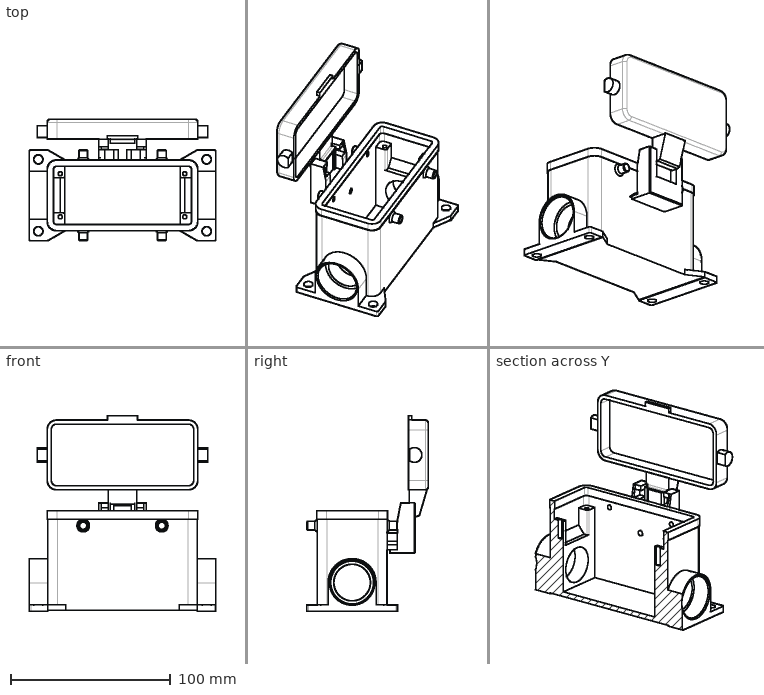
import cadquery as cq
import math


shell_length, shell_width, shell_radius = 93.8, 43.8, 6.0
rim_length, rim_width, rim_radius = 94.5, 44.5, 6.0
housing_height = 63.0
rim_height = 5.4
rim_base_z = housing_height - rim_height
shell_base_z = 0.5
rim_cavity_length, rim_cavity_width, rim_cavity_radius = 86.4, 36.2, 1.5
cavity_undercut = 0.2
cavity_length = rim_cavity_length + 2 * cavity_undercut
cavity_width = rim_cavity_width + 2 * cavity_undercut
cavity_radius = 2.5
floor_top_z = 4.0

end_wall_inner_x = 36.1
end_wall_slope_x = 39.1
end_wall_shelf_z = 34.5
end_wall_top_z = 39.7
insert_boss_top_z = 51.0
insert_boss_inner_y = 11.0
insert_boss_radius = 1.0
insert_hole_x, insert_hole_y = 39.0, 13.5
insert_hole_diameter, insert_hole_depth = 2.6, 12.0

foot_length, foot_width, foot_height = 117.0, 57.0, 4.0
foot_shoulder_x = 46.8
foot_tip_x = 35.4
foot_corner_radius = 1.1
foot_hole_x, foot_hole_y, foot_hole_diameter = 52.7, 22.5, 5.6

entry_z, entry_radius = 18.0, 15.0
entry_bore_diameter = 26.8
entry_bore_depth = 12.0
entry_hole_diameter = 22.8
entry_chamfer = 0.8

pin_x, pin_z = 24.6, 53.6
pin_diameter, pin_base_diameter = 5.6, 7.8
pin_cone_height = 1.5
pin_end_y = 28.4
pin_chamfer = 0.5
pin_hole_diameter, pin_hole_depth = 3.0, 5.0

bracket_half_width = 15.0
bracket_cheek_thickness = 1.6
bracket_front_y, bracket_back_y = 28.4, 39.4
bracket_base_z, bracket_top_z = 36.4, 67.9
bracket_slope_z = rim_base_z
bracket_top_front_y = 30.4
bracket_plate_front_y = 23.6
bracket_edge_chamfer = 0.6
lug_top_z, lug_base_z = 49.1, 38.4
lug_top_half_width = 2.6
lug_arc_inner_x, lug_arc_inner_z = 5.4, 43.8
lug_arc_outer_x, lug_arc_outer_z = 11.0, 41.6
lug_hole_z, lug_hole_diameter, lug_hole_depth = 42.0, 3.4, 8.0
ear_notch_back_y = 35.0
ear_notch_base_z, ear_notch_top_z = 59.7, 64.8

cover_length, cover_height, cover_radius = 94.4, 43.8, 6.0
cover_centre_z = 97.9
cover_front_y, cover_back_y = 35.25, 47.75
cover_wall = 2.6
cover_plate_thickness = 3.5
cover_edge_radius = 2.0
cover_base_z = cover_centre_z - cover_height / 2
cover_top_z = cover_centre_z + cover_height / 2
tab_length, tab_thickness, tab_top_z = 18.8, 2.1, 122.5
stud_diameter, stud_y, stud_end_x = 9.3, 39.0, 53.4
stud_flat_y = 36.2

tongue_width = 18.0
tongue_front_y = 35.7
tongue_root_back_y = 46.9
tongue_tip_back_y, tongue_tip_front_y = 42.2, 40.3
tongue_back_corner_z = 60.0
tongue_base_z = 59.2
knuckle_width, knuckle_front_y = 15.6, 32.5
knuckle_base_z, knuckle_top_z, knuckle_root_radius = 50.0, 66.9, 0.9
knuckle_recess_width, knuckle_recess_depth, knuckle_lip = 11.2, 1.0, 0.8


def span_box(x_range, y_range, z_range):
    """Box between the given limits on each axis."""
    (x0, x1), (y0, y1), (z0, z1) = x_range, y_range, z_range
    return cq.Workplane("XY").box(x1 - x0, y1 - y0, z1 - z0, centered=False).translate((x0, y0, z0))


def rounded_block(length, width, radius, base_z, top_z):
    """Upright block with rounded vertical corners, centred on the Z axis."""
    block = cq.Workplane("XY").workplane(offset=base_z).rect(length, width).extrude(top_z - base_z)
    return block.edges("|Z").fillet(radius)


def y_cylinder(x, z, diameter, y_start, length):
    """Cylinder along Y; a positive length runs toward +Y."""
    plane = cq.Workplane("XZ", origin=(0, y_start, 0))
    return plane.center(x, z).circle(diameter / 2).extrude(-length)


def x_cylinder(y, z, diameter, x_start, x_end):
    """Cylinder along X between two X positions."""
    plane = cq.Workplane("YZ", origin=(x_start, 0, 0))
    return plane.center(y, z).circle(diameter / 2).extrude(x_end - x_start)


def make_foot():
    """Mounting foot on the +X side, tapering back to the shell, with its two screw holes."""
    half_length, half_width = foot_length / 2, foot_width / 2
    tip_y = shell_width / 2

    def foot_plate(base_z, points):
        return cq.Workplane("XY").workplane(offset=base_z).polyline(points).close().extrude(foot_height - base_z)

    wing_points = [
        (half_length, -half_width),
        (half_length, half_width),
        (foot_shoulder_x, half_width),
        (foot_tip_x, tip_y),
        (foot_tip_x, -tip_y),
        (foot_shoulder_x, -half_width),
    ]
    foot = foot_plate(shell_base_z, wing_points)
    pad = span_box((foot_shoulder_x, half_length), (-half_width, half_width), (0, foot_height))
    foot = foot.union(pad).edges("|Z and >X").fillet(foot_corner_radius)
    holes = (
        cq.Workplane("XY")
        .pushPoints([(foot_hole_x, foot_hole_y), (foot_hole_x, -foot_hole_y)])
        .circle(foot_hole_diameter / 2)
        .extrude(foot_height)
    )
    return foot.cut(holes)


def make_entry():
    """Arched cable-entry collar on the +X side, standing on the foot."""
    inner_x = end_wall_slope_x
    outer_x = foot_length / 2
    arch = x_cylinder(0, entry_z, 2 * entry_radius, inner_x, outer_x)
    pedestal = span_box((inner_x, outer_x), (-entry_radius, entry_radius), (shell_base_z, entry_z))
    return arch.union(pedestal)


def make_entry_bore():
    """Stepped bore of the +X cable entry, with a chamfered mouth."""
    outer_x = foot_length / 2
    bore = x_cylinder(0, entry_z, entry_bore_diameter, outer_x - entry_bore_depth, outer_x)
    hole = x_cylinder(0, entry_z, entry_hole_diameter, end_wall_inner_x - 1, outer_x)
    mouth = (
        cq.Workplane("YZ", origin=(outer_x, 0, 0))
        .center(0, entry_z)
        .circle(entry_bore_diameter / 2 + entry_chamfer)
        .workplane(offset=-entry_chamfer)
        .circle(entry_bore_diameter / 2)
        .loft()
    )
    return bore.union(hole).union(mouth)


def make_end_wall():
    """Thick lower part of the +X end wall, with a shelf and a slope up to the cavity wall."""
    wall_x = cavity_length / 2
    section = [
        (end_wall_inner_x, floor_top_z),
        (end_wall_inner_x, end_wall_shelf_z),
        (end_wall_slope_x, end_wall_shelf_z),
        (wall_x, end_wall_top_z),
        (wall_x, floor_top_z),
    ]
    plane = cq.Workplane("XZ", origin=(0, cavity_width / 2, 0))
    return plane.polyline(section).close().extrude(cavity_width)


def make_insert_boss():
    """Screw boss in the +X +Y corner of the cavity."""
    boss = span_box(
        (end_wall_inner_x, cavity_length / 2),
        (insert_boss_inner_y, cavity_width / 2),
        (floor_top_z, insert_boss_top_z),
    )
    boss = boss.edges("|Z and <X and <Y").fillet(insert_boss_radius)
    screw_hole = (
        cq.Workplane("XY", origin=(insert_hole_x, insert_hole_y, insert_boss_top_z))
        .circle(insert_hole_diameter / 2)
        .extrude(-insert_hole_depth)
    )
    return boss.cut(screw_hole)


def make_cavity():
    """Inside of the housing, less the end walls and the corner bosses."""
    cavity = rounded_block(cavity_length, cavity_width, cavity_radius, floor_top_z, rim_base_z)
    rim_opening = rounded_block(
        rim_cavity_length, rim_cavity_width, rim_cavity_radius, rim_base_z, housing_height
    )
    end_wall = make_end_wall()
    boss = make_insert_boss()
    end_features = end_wall.union(boss).union(boss.mirror("XZ"))
    return cavity.union(rim_opening).cut(end_features).cut(end_features.mirror("YZ"))


def make_pin(x):
    """Locking pin with a conical base, on the +Y wall."""
    wall_y = shell_width / 2
    length = pin_end_y - wall_y
    shaft = y_cylinder(x, pin_z, pin_diameter, wall_y, length).faces(">Y").chamfer(pin_chamfer)
    cone = (
        cq.Workplane("XZ", origin=(x, wall_y, pin_z))
        .circle(pin_base_diameter / 2)
        .workplane(offset=-pin_cone_height)
        .circle(pin_diameter / 2)
        .loft()
    )
    return shaft.union(cone)


def make_lug():
    """Bell-shaped lug that carries the bracket on the rear wall."""
    run = lug_arc_outer_x - lug_arc_inner_x
    rise = lug_arc_inner_z - lug_arc_outer_z
    arc_radius = (run**2 + rise**2) / (2 * rise)
    half_run = run / 2
    mid_z = lug_arc_outer_z + arc_radius - math.sqrt(arc_radius**2 - half_run**2)
    mid_x = lug_arc_outer_x - half_run
    outline = (
        cq.Workplane("XZ", origin=(0, bracket_front_y, 0))
        .moveTo(-bracket_half_width, lug_base_z)
        .lineTo(-lug_arc_outer_x, lug_arc_outer_z)
        .threePointArc((-mid_x, mid_z), (-lug_arc_inner_x, lug_arc_inner_z))
        .lineTo(-lug_top_half_width, lug_top_z)
        .lineTo(lug_top_half_width, lug_top_z)
        .lineTo(lug_arc_inner_x, lug_arc_inner_z)
        .threePointArc((mid_x, mid_z), (lug_arc_outer_x, lug_arc_outer_z))
        .lineTo(bracket_half_width, lug_base_z)
        .close()
    )
    return outline.extrude(bracket_front_y - rim_cavity_width / 2 - 1)


def make_bracket():
    """Hinge bracket: two ears with a slot between them for the cover tongue, and a plate under the lug."""
    side_profile = [
        (bracket_back_y, bracket_base_z),
        (bracket_back_y, bracket_top_z),
        (bracket_top_front_y, bracket_top_z),
        (bracket_front_y, bracket_slope_z),
        (bracket_front_y, lug_base_z),
        (bracket_plate_front_y, lug_base_z),
        (bracket_plate_front_y, bracket_base_z),
    ]
    plane = cq.Workplane("YZ", origin=(-bracket_half_width, 0, 0))
    bracket = plane.polyline(side_profile).close().extrude(2 * bracket_half_width)
    bracket = bracket.faces(">Y").edges().chamfer(bracket_edge_chamfer)

    half_slot = tongue_width / 2
    slot = span_box((-half_slot, half_slot), (bracket_front_y, bracket_back_y), (lug_top_z, bracket_top_z))
    bracket = bracket.cut(slot)

    cheek_inner_x = bracket_half_width - bracket_cheek_thickness
    relief_depth = (bracket_front_y, bracket_top_front_y)
    notch_depth = (bracket_front_y, ear_notch_back_y)
    for x_range in [(half_slot, cheek_inner_x), (-cheek_inner_x, -half_slot)]:
        bracket = bracket.cut(span_box(x_range, relief_depth, (ear_notch_top_z, bracket_top_z)))
        bracket = bracket.cut(span_box(x_range, notch_depth, (ear_notch_base_z, ear_notch_top_z)))
    return bracket


def make_housing():
    """Housing with its feet, cable entries, locking pins and hinge bracket."""
    body = rounded_block(shell_length, shell_width, shell_radius, shell_base_z, rim_base_z)
    body = body.union(rounded_block(rim_length, rim_width, rim_radius, rim_base_z, housing_height))

    side = make_foot().union(make_entry())
    body = body.union(side).union(side.mirror("YZ"))
    body = body.union(make_lug()).union(make_bracket())
    for x in (-pin_x, pin_x):
        pin = make_pin(x)
        body = body.union(pin).union(pin.mirror("XZ"))

    body = body.cut(make_cavity())
    bore = make_entry_bore()
    body = body.cut(bore).cut(bore.mirror("YZ"))

    inner_wall_y = cavity_width / 2
    for x in (-pin_x, pin_x):
        hole = y_cylinder(x, pin_z, pin_hole_diameter, inner_wall_y, pin_hole_depth)
        body = body.cut(hole).cut(hole.mirror("XZ"))
    return body.cut(y_cylinder(0, lug_hole_z, lug_hole_diameter, inner_wall_y, lug_hole_depth))


def make_tongue():
    """Tapered tongue below the cover, ending in a knuckle between the bracket ears."""
    root_z = cover_base_z + cover_wall
    side_profile = [
        (tongue_front_y, root_z),
        (tongue_root_back_y, root_z),
        (tongue_root_back_y, cover_base_z),
        (tongue_tip_back_y, tongue_back_corner_z),
        (tongue_tip_front_y, tongue_base_z),
        (tongue_front_y, tongue_base_z),
    ]
    plane = cq.Workplane("YZ", origin=(-tongue_width / 2, 0, 0))
    tongue = plane.polyline(side_profile).close().extrude(tongue_width)

    half_knuckle = knuckle_width / 2
    arc_inset = knuckle_root_radius * (1 - math.sqrt(0.5))
    knuckle = (
        cq.Workplane("YZ", origin=(-half_knuckle, 0, 0))
        .moveTo(tongue_front_y, knuckle_base_z)
        .lineTo(tongue_front_y, knuckle_top_z + knuckle_root_radius)
        .threePointArc(
            (tongue_front_y - arc_inset, knuckle_top_z + arc_inset),
            (tongue_front_y - knuckle_root_radius, knuckle_top_z),
        )
        .lineTo(knuckle_front_y, knuckle_top_z)
        .lineTo(knuckle_front_y, knuckle_base_z)
        .close()
        .extrude(knuckle_width)
    )
    half_recess = knuckle_recess_width / 2
    recess = span_box(
        (-half_recess, half_recess),
        (knuckle_front_y, knuckle_front_y + knuckle_recess_depth),
        (knuckle_base_z, knuckle_top_z - knuckle_lip),
    )
    return tongue.union(knuckle.cut(recess))


def make_stud():
    """Locking stud on the +X end of the cover, flattened on its front."""
    stud = x_cylinder(stud_y, cover_centre_z, stud_diameter, cover_length / 2 - cover_wall, stud_end_x)
    stud_radius = stud_diameter / 2
    flat = span_box(
        (0, stud_end_x),
        (stud_y - stud_radius, stud_flat_y),
        (cover_centre_z - stud_radius, cover_centre_z + stud_radius),
    )
    return stud.cut(flat)


def make_cover():
    """Shallow cover, open toward the front, with its grip tab, studs and hinge tongue."""
    thickness = cover_back_y - cover_front_y
    front_plane = cq.Workplane("XZ", origin=(0, cover_front_y, 0)).center(0, cover_centre_z)
    cover = front_plane.rect(cover_length, cover_height).extrude(-thickness)
    cover = cover.edges("|Y").fillet(cover_radius).faces(">Y").edges().fillet(cover_edge_radius)

    half_tab = tab_length / 2
    tab = span_box(
        (-half_tab, half_tab),
        (cover_front_y, cover_front_y + tab_thickness),
        (cover_top_z - cover_wall, tab_top_z),
    )
    stud = make_stud()
    cover = cover.union(tab).union(stud).union(stud.mirror("YZ")).union(make_tongue())

    pocket = front_plane.rect(cover_length - 2 * cover_wall, cover_height - 2 * cover_wall)
    pocket = pocket.extrude(-(thickness - cover_plate_thickness))
    return cover.cut(pocket.edges("|Y").fillet(cover_radius - cover_wall))


housing = make_housing()
cover = make_cover()
result = cq.Compound.makeCompound([housing.val(), cover.val()])